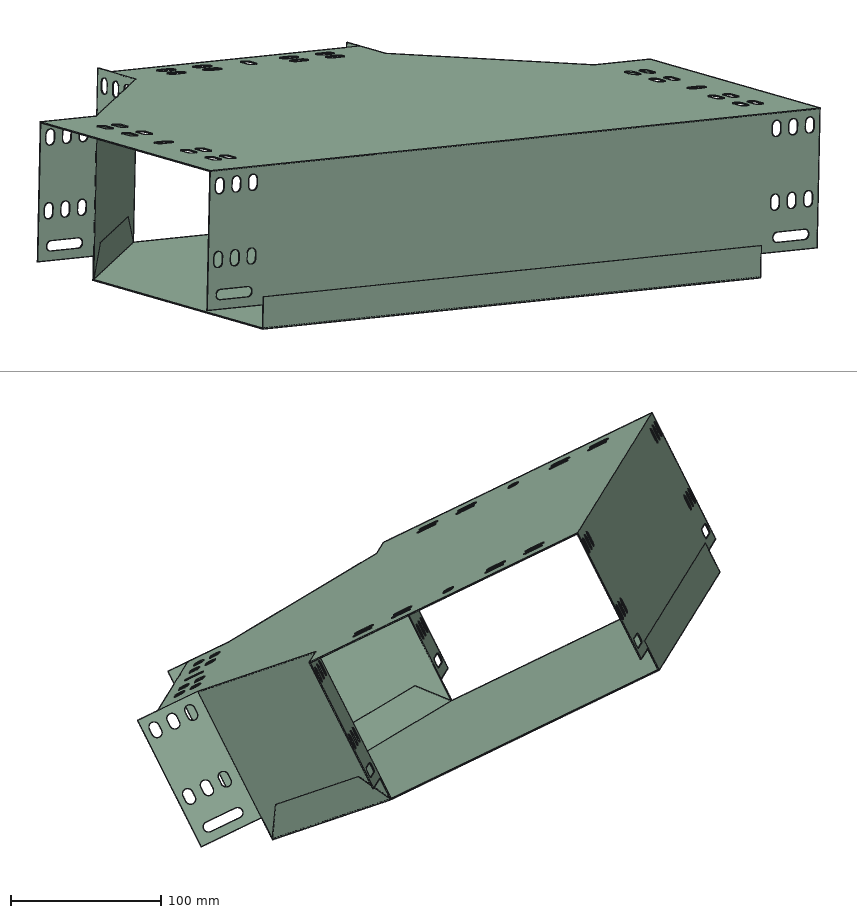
import cadquery as cq
import math

sheet = 0.8
run_width = 201.6
spigot_length = 45.2
splay = 100.0
depth = 111.5
tab_depth = 95.0
flange_top = 89.5
branch_setback = 15.0

corner_position = (-11.331, -208.978, 175.36)
tilt_angles = (-30.391, -16.438, 61.79)

mount_slot_length = 14.0
mount_slot_width = 7.0
mount_row_near = 27.3
mount_row_far = 39.2
mount_centre_row = 31.0
mount_columns = (35.0, 64.0)
tab_slot_length = 11.0
tab_slot_width = 7.0
tab_slot_distances = (8.0, 21.4, 34.8)
tab_slot_depths = (11.0, 61.0)
long_slot_length = 29.0
long_slot_depth = 85.0

run_length = run_width + 2 * (spigot_length + splay)
branch_start = spigot_length + splay
branch_end = run_length - branch_start
splay_end = run_width + splay
branch_tip = splay_end + spigot_length
mitre_shift = sheet * math.tan(math.radians(22.5))
wall_foot = depth - sheet
flange_height = wall_foot - flange_top
splay_length = splay * math.sqrt(2)


def prism(points, top, bottom):
    """Solid between two depths below the outer face of the top sheet."""
    return cq.Workplane("XY", origin=(0, 0, -bottom)).polyline(points).close().extrude(bottom - top)


def box(x_range, y_range, top, bottom):
    (x0, x1), (y0, y1) = x_range, y_range
    return prism([(x0, y0), (x1, y0), (x1, y1), (x0, y1)], top, bottom)


def splay_flange(side):
    """Trapezoid flange with 45 degree ends, lying in a splayed wall."""
    if side == "first":
        foot = (spigot_length, run_width, -wall_foot)
        along = (1, 1, 0)
        outward = (-1, 1, 0)
    else:
        foot = (branch_end, splay_end, -wall_foot)
        along = (1, -1, 0)
        outward = (1, 1, 0)
    normal = cq.Vector(*along).cross(cq.Vector(0, 0, 1))
    inward = -1 if normal.dot(cq.Vector(*outward)) > 0 else 1
    outline = [
        (0, 0),
        (splay_length, 0),
        (splay_length - flange_height, flange_height),
        (flange_height, flange_height),
    ]
    plane = cq.Plane(origin=foot, xDir=along, normal=normal)
    return cq.Workplane(plane).polyline(outline).close().extrude(inward * sheet)


def make_flanges():
    back = box((spigot_length, run_length - spigot_length), (0, sheet), flange_top, wall_foot)
    return [back, splay_flange("first"), splay_flange("second")]


def opening_frames():
    half = run_width / 2
    return [
        cq.Plane(origin=(0, half, 0), xDir=(0, -1, 0), normal=(0, 0, 1)),
        cq.Plane(origin=(run_length, half, 0), xDir=(0, 1, 0), normal=(0, 0, 1)),
        cq.Plane(origin=(run_length / 2, branch_tip, 0), xDir=(-1, 0, 0), normal=(0, 0, 1)),
    ]


def mount_holes(frame):
    """Slots through the top sheet at one opening."""
    spots = []
    for column in mount_columns:
        for row in (mount_row_near, mount_row_far):
            spots += [(column, row), (-column, row)]
    sheet_plane = cq.Workplane(frame)
    pairs = sheet_plane.pushPoints(spots).slot2D(mount_slot_length, mount_slot_width)
    holes = pairs.extrude(-sheet)
    centre = sheet_plane.center(0, mount_centre_row)
    return holes.union(centre.slot2D(mount_slot_length, mount_slot_width, 90).extrude(-sheet))


def tab_holes(frame):
    """Slots through both walls beside one opening."""
    across = run_width / 2
    wall_plane = cq.Plane(
        origin=frame.toWorldCoords((-across, 0, 0)), xDir=frame.yDir, normal=frame.xDir
    )
    spots = [(distance, -level) for distance in tab_slot_distances for level in tab_slot_depths]
    walls = cq.Workplane(wall_plane)
    upright = walls.pushPoints(spots).slot2D(tab_slot_length, tab_slot_width, 90).extrude(run_width)
    middle = walls.center(tab_slot_distances[1], -long_slot_depth)
    return upright.union(middle.slot2D(long_slot_length, tab_slot_width).extrude(run_width))


def make_cover():
    outer = [
        (0, 0),
        (run_length, 0),
        (run_length, run_width),
        (run_length - spigot_length, run_width),
        (branch_end, splay_end),
        (branch_end, branch_tip),
        (branch_start, branch_tip),
        (branch_start, splay_end),
        (spigot_length, run_width),
        (0, run_width),
    ]
    inner = [
        (0, sheet),
        (run_length, sheet),
        (run_length, run_width - sheet),
        (run_length - spigot_length - mitre_shift, run_width - sheet),
        (branch_end - sheet, splay_end - mitre_shift),
        (branch_end - sheet, branch_tip),
        (branch_start + sheet, branch_tip),
        (branch_start + sheet, splay_end - mitre_shift),
        (spigot_length + mitre_shift, run_width - sheet),
        (0, run_width - sheet),
    ]
    cover = prism(outer, 0, wall_foot).cut(prism(inner, sheet, wall_foot))

    cover = cover.cut(box((0, spigot_length), (0, run_width), tab_depth, wall_foot))
    cover = cover.cut(box((run_length - spigot_length, run_length), (0, run_width), tab_depth, wall_foot))
    cover = cover.cut(box((branch_start, branch_end), (splay_end, branch_tip), tab_depth, wall_foot))

    branch_inside = (branch_start + sheet, branch_end - sheet)
    cover = cover.cut(box(branch_inside, (branch_tip - branch_setback, branch_tip), 0, sheet))

    for flange in make_flanges():
        cover = cover.cut(flange)
    for frame in opening_frames():
        cover = cover.cut(mount_holes(frame)).cut(tab_holes(frame))
    return cover


def make_lid():
    outline = [
        (spigot_length, 0),
        (run_length - spigot_length, 0),
        (run_length - spigot_length, run_width),
        (branch_end, splay_end),
        (branch_start, splay_end),
        (spigot_length, run_width),
    ]
    lid = prism(outline, wall_foot, depth)
    for flange in make_flanges():
        lid = lid.union(flange)
    return lid


placement = cq.Location(cq.Vector(*corner_position))
for axis, angle in zip(((1, 0, 0), (0, 1, 0), (0, 0, 1)), tilt_angles):
    placement = placement * cq.Location(cq.Vector(0, 0, 0), cq.Vector(*axis), angle)

cover = make_cover().val().moved(placement)
lid = make_lid().val().moved(placement)
result = cq.Compound.makeCompound([*cover.Solids(), *lid.Solids()])